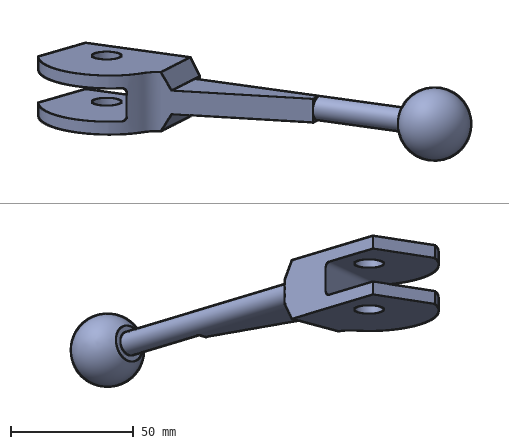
import cadquery as cq
import math


HEAD_THICKNESS = 25.0
PIVOT_DIAMETER = 12.0
SIDE_ANGLE = math.radians(15.0)
END_X = -20.4
CAM_CENTER = (2.0, -0.43)
CAM_RADIUS = 29.5
HEEL_START_X = 15.0
HEEL_RADIUS = 25.5
THROAT_RADIUS = 10.0
SLOT_WIDTH = 14.0
SLOT_FLOOR_X = 11.3
SLOT_FILLET = 2.0

NECK_START_X = 31.4
NECK_ANGLE = math.radians(30.0)

ROD_DIAMETER = 10.0
ROD_AXIS_Y = 8.6
TAPER_END_X = 91.5
ARM_END_X = 92.8
BALL_RADIUS = 15.0
BALL_X = 146.1
BALL_FLAT_RADIUS = 7.5

ROD_RADIUS = ROD_DIAMETER / 2
BACK_Y = ROD_AXIS_Y + ROD_RADIUS
ROD_FRONT_Y = ROD_AXIS_Y - ROD_RADIUS
LEAN = math.tan(SIDE_ANGLE)
NECK_DROP = HEAD_THICKNESS / 2 - ROD_RADIUS
NECK_END_X = NECK_START_X + NECK_DROP * math.tan(NECK_ANGLE)
BALL_FLAT_X = BALL_X - math.sqrt(BALL_RADIUS**2 - BALL_FLAT_RADIUS**2)


def point_on_circle(center, radius, angle):
    """Point of a circle at an angle in radians."""
    return (center[0] + radius * math.cos(angle), center[1] + radius * math.sin(angle))


def taper_y(x):
    """Front edge of the tapered arm."""
    return ROD_FRONT_Y - (TAPER_END_X - x) * LEAN


def end_corner():
    """Point where the slanted end line meets the cam circle."""
    offset = END_X - CAM_CENTER[0]
    a = 1 + LEAN**2
    b = offset * LEAN - CAM_CENTER[1]
    c = offset**2 + CAM_CENTER[1]**2 - CAM_RADIUS**2
    y = (-b - math.sqrt(b**2 - a * c)) / a
    return (END_X + y * LEAN, y)


def throat_center(heel_center):
    """Center of the arc touching the heel circle and the taper from outside."""
    intercept = taper_y(0) - THROAT_RADIUS / math.cos(SIDE_ANGLE)
    drop = intercept - heel_center[1]
    a = 1 + LEAN**2
    b = drop * LEAN - heel_center[0]
    c = heel_center[0]**2 + drop**2 - (HEEL_RADIUS + THROAT_RADIUS)**2
    x = (-b + math.sqrt(b**2 - a * c)) / a
    return (x, intercept + x * LEAN)


def head_outline():
    """Head in plan, ending square at the neck."""
    corner = end_corner()
    corner_angle = math.atan2(corner[1] - CAM_CENTER[1], corner[0] - CAM_CENTER[0])
    heel_angle = -math.acos((HEEL_START_X - CAM_CENTER[0]) / CAM_RADIUS)
    heel_start = point_on_circle(CAM_CENTER, CAM_RADIUS, heel_angle)
    heel_center = point_on_circle(CAM_CENTER, CAM_RADIUS - HEEL_RADIUS, heel_angle)
    throat = throat_center(heel_center)
    throat_angle = math.atan2(throat[1] - heel_center[1], throat[0] - heel_center[0])
    throat_start = point_on_circle(heel_center, HEEL_RADIUS, throat_angle)
    throat_first = throat_angle + math.pi
    throat_last = SIDE_ANGLE + math.pi / 2
    throat_end = point_on_circle(throat, THROAT_RADIUS, throat_last)

    cam_mid = point_on_circle(CAM_CENTER, CAM_RADIUS, (corner_angle + heel_angle) / 2)
    heel_mid = point_on_circle(heel_center, HEEL_RADIUS, (heel_angle + throat_angle) / 2)
    throat_mid = point_on_circle(throat, THROAT_RADIUS, (throat_first + throat_last) / 2)
    return (
        cq.Workplane("XY")
        .moveTo(END_X + BACK_Y * LEAN, BACK_Y)
        .lineTo(*corner)
        .threePointArc(cam_mid, heel_start)
        .threePointArc(heel_mid, throat_start)
        .threePointArc(throat_mid, throat_end)
        .lineTo(NECK_END_X, taper_y(NECK_END_X))
        .lineTo(NECK_END_X, BACK_Y)
        .close()
    )


def make_head():
    """Solid head with its thickness sloping down at the neck."""
    head = head_outline().extrude(HEAD_THICKNESS / 2, both=True)
    half = HEAD_THICKNESS / 2
    wedge = (
        cq.Workplane("XZ")
        .polyline([(NECK_START_X, half), (NECK_END_X, half), (NECK_END_X, ROD_RADIUS)])
        .close()
        .extrude(HEAD_THICKNESS * 2, both=True)
    )
    return head.cut(wedge).cut(wedge.mirror("XY"))


def make_slot():
    """Fork slot with a leaning floor and rounded floor corners."""
    reach = 4 * CAM_RADIUS
    block = (
        cq.Workplane("XY")
        .box(reach, reach, SLOT_WIDTH, centered=(False, True, True))
        .translate((-reach, 0, 0))
        .edges("|Y and >X")
        .fillet(SLOT_FILLET)
    )
    return (
        block.rotate((0, 0, 0), (0, 0, 1), math.degrees(SIDE_ANGLE))
        .translate((SLOT_FLOOR_X, BACK_Y, 0))
    )


def make_arm():
    """Tapered web, as thick as the rod, running from the neck along the rod."""
    return (
        cq.Workplane("XY")
        .moveTo(NECK_START_X, ROD_AXIS_Y)
        .lineTo(NECK_START_X, taper_y(NECK_START_X))
        .lineTo(TAPER_END_X, ROD_FRONT_Y)
        .lineTo(ARM_END_X, ROD_FRONT_Y)
        .lineTo(ARM_END_X, ROD_AXIS_Y)
        .close()
        .extrude(ROD_RADIUS, both=True)
    )


def make_rod():
    """Round rod from the neck to the middle of the ball."""
    return (
        cq.Workplane("YZ", origin=(NECK_START_X, ROD_AXIS_Y, 0))
        .circle(ROD_RADIUS)
        .extrude(BALL_X - NECK_START_X)
    )


def make_ball():
    """Ball knob with a flat where the rod enters."""
    return (
        cq.Workplane("XY", origin=(0, ROD_AXIS_Y, 0))
        .moveTo(BALL_FLAT_X, 0)
        .lineTo(BALL_FLAT_X, BALL_FLAT_RADIUS)
        .threePointArc((BALL_X, BALL_RADIUS), (BALL_X + BALL_RADIUS, 0))
        .close()
        .revolve(360, (0, 0, 0), (1, 0, 0))
    )


def make_pivot_hole():
    """Pin hole through both fork plates."""
    return cq.Workplane("XY").circle(PIVOT_DIAMETER / 2).extrude(HEAD_THICKNESS, both=True)


head = make_head().cut(make_slot()).cut(make_pivot_hole())
result = head.union(make_arm()).union(make_rod()).union(make_ball())